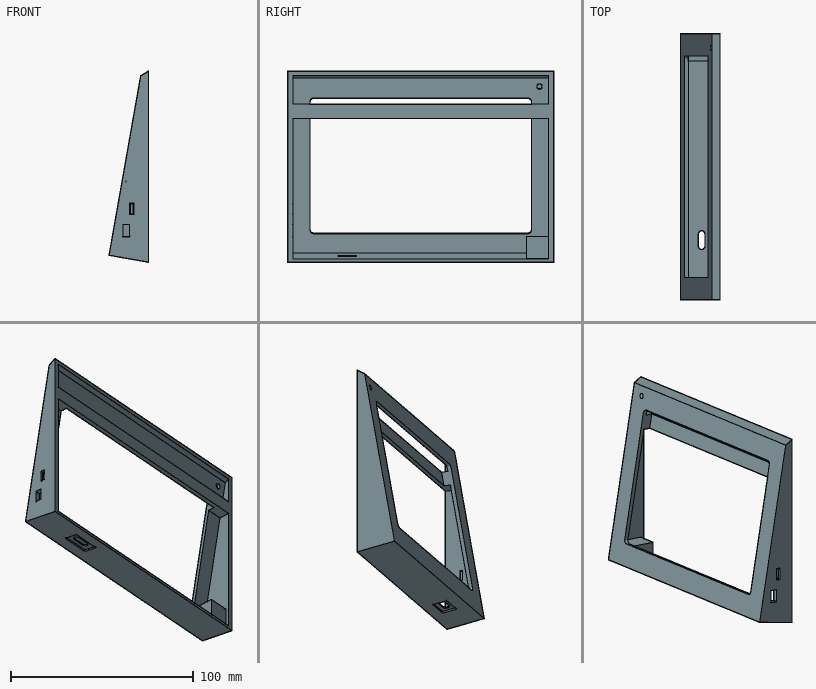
import cadquery as cq
import math

DEPTH = 21.8
LENGTH = 146.0
HEIGHT = 105.0
LEAN = 10.0
TOP_DEPTH = 4.4

PANEL = 2.2
FLOOR = 1.8
SIDE = 2.9
ROOF = 2.2

WINDOW_MARGIN = 12.3
WINDOW_BOTTOM = 12.4
WINDOW_TOP = 87.9
WINDOW_RADIUS = 2.2

BAR_OFFSET = 5.8
BAR_BOTTOM = 78.8
BAR_TOP = 86.9

BLOCK_LENGTH = 12.0
BLOCK_TOP = 14.2
BLOCK_BACK_GAP = 2.0

PORT_X, PORT_Z, PORT_WIDTH, PORT_HEIGHT = 9.5, 17.2, 3.6, 6.9
SWITCH_X, SWITCH_Z, SWITCH_WIDTH, SWITCH_HEIGHT = 12.5, 29.3, 2.3, 6.4
SWITCH_LIP = 0.5
SWITCH_RECESS = 1.5

SLOT_X, SLOT_Y = 11.4, 32.7
SLOT_LENGTH, SLOT_WIDTH = 10.2, 3.6
PLUG_LENGTH, PLUG_WIDTH = 16.0, 8.2
PLUG_DEPTH = 1.0

SENSOR_DIAMETER = 2.9
SENSOR_Y = 138.1
SENSOR_UP = 94.3
SENSOR_SKIN = 0.5

SIN = math.sin(math.radians(LEAN))
COS = math.cos(math.radians(LEAN))
TAN = SIN / COS
FRONT_Z = DEPTH * TAN
TOP_FRONT_X = DEPTH - TOP_DEPTH
TOP_FRONT_Z = FRONT_Z + TOP_FRONT_X / TAN
TOP_TAN = (HEIGHT - TOP_FRONT_Z) / TOP_DEPTH
MIDDLE_Y = LENGTH / 2


def front_x(z, offset=0.0):
    """X of the plane lying `offset` behind the front face, at height z."""
    return (z - FRONT_Z) * TAN + offset / COS


def prism(points, y_start, y_end):
    """Extrude an XZ outline between two Y positions."""
    plane = cq.Workplane("XZ", origin=(0, y_start, 0))
    return plane.polyline(points).close().extrude(y_start - y_end)


def box(x_start, x_end, y_start, y_end, z_start, z_end):
    size = (x_end - x_start, y_end - y_start, z_end - z_start)
    return cq.Workplane("XY").box(*size, centered=False).translate((x_start, y_start, z_start))


def panel_plane():
    """Plane on the front face: local X along -Y, local Y up the panel."""
    return cq.Workplane(cq.Plane((0, MIDDLE_Y, FRONT_Z), (0, -1, 0), (-COS, 0, SIN)))


def floor_plane():
    """Plane on the underside, centred on the cable slot, facing into the housing."""
    origin = (SLOT_X, SLOT_Y, FRONT_Z - SLOT_X * TAN)
    return cq.Workplane(cq.Plane(origin, (0, 1, 0), (SIN, 0, COS)))


def shell():
    outer = prism(
        [(0, FRONT_Z), (TOP_FRONT_X, TOP_FRONT_Z), (DEPTH, HEIGHT), (DEPTH, 0)], 0, LENGTH
    )
    corner_x = PANEL * COS + FLOOR * SIN
    corner_z = FRONT_Z - PANEL * SIN + FLOOR * COS
    floor_back_z = FLOOR / COS
    roof_back_z = HEIGHT - ROOF * math.hypot(1, TOP_TAN)
    slope = 1 / TAN
    rise = roof_back_z - DEPTH * TOP_TAN
    roof_x = (rise - corner_z + corner_x * slope) / (slope - TOP_TAN)
    cavity = prism(
        [
            (corner_x, corner_z),
            (roof_x, rise + roof_x * TOP_TAN),
            (DEPTH, roof_back_z),
            (DEPTH, floor_back_z),
        ],
        SIDE,
        LENGTH - SIDE,
    )
    return outer.cut(cavity)


def window():
    """Window cutter, twice as deep as the panel so that it clears the inner face."""
    window_height = WINDOW_TOP - WINDOW_BOTTOM
    corner_edges = cq.selectors.ParallelDirSelector(cq.Vector(-COS, 0, SIN))
    return (
        panel_plane()
        .center(0, (WINDOW_TOP + WINDOW_BOTTOM) / 2)
        .rect(LENGTH - 2 * WINDOW_MARGIN, window_height)
        .extrude(-2 * PANEL)
        .edges(corner_edges)
        .fillet(WINDOW_RADIUS)
    )


def sloped_slab(offset, y_start, y_end):
    """Slab across the bar's height, from a plane behind the front face to the back."""
    return prism(
        [
            (front_x(BAR_BOTTOM, offset), BAR_BOTTOM),
            (front_x(BAR_TOP, offset), BAR_TOP),
            (DEPTH, BAR_TOP),
            (DEPTH, BAR_BOTTOM),
        ],
        y_start,
        y_end,
    )


def corner_block():
    top_x = front_x(BLOCK_TOP, PANEL / 2)
    back_x = DEPTH - BLOCK_BACK_GAP
    inner_y = LENGTH - SIDE
    outline = [
        (front_x(FRONT_Z, PANEL / 2), FRONT_Z),
        (top_x, BLOCK_TOP),
        (back_x, BLOCK_TOP),
        (back_x, FRONT_Z - back_x * TAN + FLOOR / 2),
    ]
    return prism(outline, inner_y - BLOCK_LENGTH, LENGTH - SIDE / 2)


def side_opening(x, z, width, height, depth):
    return box(x - width / 2, x + width / 2, 0, depth, z - height / 2, z + height / 2)


def switch_opening():
    recess = side_opening(SWITCH_X, SWITCH_Z, SWITCH_WIDTH, SWITCH_HEIGHT, SWITCH_RECESS)
    inner_width = SWITCH_WIDTH - 2 * SWITCH_LIP
    inner_height = SWITCH_HEIGHT - 2 * SWITCH_LIP
    return recess.union(side_opening(SWITCH_X, SWITCH_Z, inner_width, inner_height, SIDE))


def cable_slot():
    slot = floor_plane().slot2D(SLOT_LENGTH, SLOT_WIDTH).extrude(2 * FLOOR)
    recess = floor_plane().rect(PLUG_LENGTH, PLUG_WIDTH).extrude(PLUG_DEPTH)
    return slot.union(recess)


def sensor_hole():
    return (
        panel_plane()
        .workplane(offset=-PANEL)
        .center(MIDDLE_Y - SENSOR_Y, SENSOR_UP)
        .circle(SENSOR_DIAMETER / 2)
        .extrude(PANEL - SENSOR_SKIN)
    )


result = shell()
result = result.cut(window())
result = result.union(sloped_slab(BAR_OFFSET, SIDE / 2, LENGTH - SIDE / 2))
for y_start, y_end in (
    (SIDE / 2, WINDOW_MARGIN),
    (LENGTH - WINDOW_MARGIN, LENGTH - SIDE / 2),
):
    result = result.union(sloped_slab(PANEL / 2, y_start, y_end))
result = result.union(corner_block())
result = result.cut(side_opening(PORT_X, PORT_Z, PORT_WIDTH, PORT_HEIGHT, SIDE))
result = result.cut(switch_opening())
result = result.cut(cable_slot())
result = result.cut(sensor_hole())